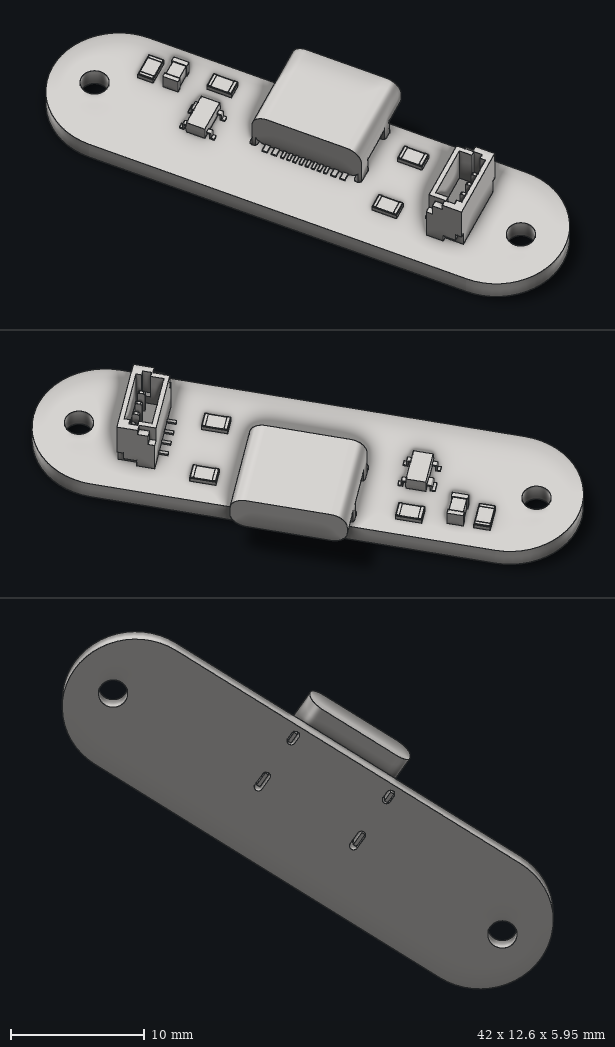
import cadquery as cq

BOARD_LENGTH = 42.0
BOARD_WIDTH = 11.0
BOARD_THICKNESS = 1.6
MOUNT_HOLE_DIAMETER = 2.2
MOUNT_HOLE_SPACING = 35.03

SHELL_WIDTH = 9.0
SHELL_LENGTH = 7.25
SHELL_HEIGHT = 3.2
SHELL_CORNER_RADIUS = 1.25
SHELL_BACK_Y = -0.15
LEG_THICKNESS = 0.3
FRONT_LEG_START_Y = 4.07
FRONT_LEG_LENGTH = 0.85
REAR_LEG_LENGTH = 1.18
USB_PIN_HEIGHT = 0.13
USB_PIN_REACH = 0.65
WIDE_PIN_WIDTH = 0.4
WIDE_PIN_OFFSETS = (2.45, 3.2)
NARROW_PIN_WIDTH = 0.25
NARROW_PIN_PITCH = 0.5
NARROW_PIN_COUNT = 8

SLOT_WIDTH = 0.65
SLOT_OFFSET_X = 4.3
FRONT_SLOT_LENGTH = 1.18
FRONT_SLOT_Y = 4.5
REAR_SLOT_LENGTH = 1.7
REAR_SLOT_Y = 0.3

CONNECTOR_X = 12.5
CONNECTOR_Y = 0.1
CONNECTOR_DEPTH = 2.9
CONNECTOR_LENGTH = 6.1
CONNECTOR_HEIGHT = 4.35
CAVITY_SIDE_WALL = 0.38
CAVITY_END_WALL = 0.9
CAVITY_FLOOR = 1.0
TOP_NOTCH_DEPTH = 0.5
BOTTOM_NOTCH_DEPTH = 0.35
NOTCH_STEP = 0.5
TOP_NOTCH_REACH = 1.3
TOP_NOTCH_DROP = 1.5
BOTTOM_NOTCH_REACH = 1.5
BOTTOM_NOTCH_LOW = 0.65
BOTTOM_NOTCH_HIGH = 1.3
KEYWAY_WIDTH = 0.67
KEYWAY_OFFSET_X = 0.3
KEYWAY_FLOOR = 1.85
CONTACT_COUNT = 4
CONTACT_PITCH = 1.0
CONTACT_WIDTH = 0.25
CONTACT_DEPTH = 0.55
CONTACT_OFFSET_X = 0.5
CONTACT_TOP = 3.1
CONTACT_TIP_BEVEL = 0.13
TAIL_REACH = 0.7
TAIL_HEIGHT = 0.15

PACKAGE_X = -8.53
PACKAGE_Y = -0.15
PACKAGE_WIDTH = 1.5
PACKAGE_LENGTH = 2.75
PACKAGE_BOTTOM = 0.13
SEAM_BOTTOM = 0.65
SEAM_TOP = 0.7
PACKAGE_TOP = 1.25
PACKAGE_BULGE = 0.05
LEAD_THICKNESS = 0.13
LEAD_TOP = 0.67
LEAD_KNEE_X = 1.18
LEAD_BEND_RADIUS = 0.13
LEAD_FOOT_X = 1.43
LEAD_ROW_Y = 0.95
NARROW_LEAD_WIDTH = 0.38
WIDE_LEAD_WIDTH = 0.75

CHIP_LENGTH = 2.0
CHIP_WIDTH = 1.25
RESISTOR_SLAB_HEIGHT = 0.38
RESISTOR_TERMINAL_TOP = 0.5
RESISTOR_COAT_TOP = 0.45
RESISTOR_TERMINAL_LENGTH = 0.25
RESISTOR_EDGE = 0.05
CAPACITOR_HEIGHT = 1.25
CAPACITOR_TERMINAL_LENGTH = 0.38
CAPACITOR_INSET = 0.1
CAPACITOR_PLACE = (-12.05, 2.75)
RESISTOR_PLACES = (
    (-14.1, 2.75, 90),
    (-8.55, 3.5, 0),
    (7.25, 3.1, 0),
    (7.4, -1.85, 0),
)


def block(x_min, x_max, y_min, y_max, z_min, z_max):
    """Rectangular block between two opposite corners."""
    size = (x_max - x_min, y_max - y_min, z_max - z_min)
    return cq.Workplane("XY").box(*size, centered=False).translate((x_min, y_min, z_min))


def build_board():
    """Round-ended board with two mounting holes and four leg slots."""
    board = cq.Workplane("XY").slot2D(BOARD_LENGTH, BOARD_WIDTH).extrude(BOARD_THICKNESS)
    hole_x = MOUNT_HOLE_SPACING / 2
    mount_holes = (
        cq.Workplane("XY")
        .pushPoints([(-hole_x, 0), (hole_x, 0)])
        .circle(MOUNT_HOLE_DIAMETER / 2)
        .extrude(BOARD_THICKNESS)
    )
    board = board.cut(mount_holes)
    for slot_y, slot_length in ((FRONT_SLOT_Y, FRONT_SLOT_LENGTH), (REAR_SLOT_Y, REAR_SLOT_LENGTH)):
        slots = (
            cq.Workplane("XY")
            .pushPoints([(-SLOT_OFFSET_X, slot_y), (SLOT_OFFSET_X, slot_y)])
            .slot2D(slot_length, SLOT_WIDTH, 90)
            .extrude(BOARD_THICKNESS)
        )
        board = board.cut(slots)
    return board


def build_usb_socket():
    """Rounded shell resting on the board, with legs through the slots and a row of pins."""
    half_width = SHELL_WIDTH / 2
    mid_z = BOARD_THICKNESS + SHELL_HEIGHT / 2
    socket = (
        block(-half_width, half_width, SHELL_BACK_Y, SHELL_BACK_Y + SHELL_LENGTH,
              BOARD_THICKNESS, BOARD_THICKNESS + SHELL_HEIGHT)
        .edges("|Y")
        .fillet(SHELL_CORNER_RADIUS)
    )

    legs = ((FRONT_LEG_START_Y, FRONT_LEG_LENGTH), (SHELL_BACK_Y, REAR_LEG_LENGTH))
    for leg_y, leg_length in legs:
        for leg_x in (-half_width, half_width - LEG_THICKNESS):
            leg = block(leg_x, leg_x + LEG_THICKNESS, leg_y, leg_y + leg_length, 0, mid_z)
            socket = socket.union(leg)

    first_narrow_x = -NARROW_PIN_PITCH * (NARROW_PIN_COUNT - 1) / 2
    pins = [(first_narrow_x + i * NARROW_PIN_PITCH, NARROW_PIN_WIDTH) for i in range(NARROW_PIN_COUNT)]
    for offset in WIDE_PIN_OFFSETS:
        pins += [(-offset, WIDE_PIN_WIDTH), (offset, WIDE_PIN_WIDTH)]
    for pin_x, pin_width in pins:
        pin = block(pin_x - pin_width / 2, pin_x + pin_width / 2,
                    SHELL_BACK_Y - USB_PIN_REACH, SHELL_BACK_Y + USB_PIN_REACH,
                    BOARD_THICKNESS, BOARD_THICKNESS + USB_PIN_HEIGHT)
        socket = socket.union(pin)
    return socket


def build_connector():
    """Open-topped housing with stepped end notches, keyways, contacts and solder tails."""
    half_depth = CONNECTOR_DEPTH / 2
    half_length = CONNECTOR_LENGTH / 2
    cavity_x = half_depth - CAVITY_SIDE_WALL
    cavity_y = half_length - CAVITY_END_WALL
    keyway_y = half_length - TOP_NOTCH_DEPTH
    height = CONNECTOR_HEIGHT

    housing = block(-half_depth, half_depth, -half_length, half_length, 0, height)
    housing = housing.cut(block(-cavity_x, cavity_x, -cavity_y, cavity_y, CAVITY_FLOOR, height))

    key_min = KEYWAY_OFFSET_X - KEYWAY_WIDTH / 2
    key_max = KEYWAY_OFFSET_X + KEYWAY_WIDTH / 2
    housing = housing.cut(block(key_min, key_max, -keyway_y, keyway_y, KEYWAY_FLOOR, height))

    for end in (-1, 1):
        outer_y = end * half_length
        top_y = sorted((outer_y, outer_y - end * TOP_NOTCH_DEPTH))
        bottom_y = sorted((outer_y, outer_y - end * BOTTOM_NOTCH_DEPTH))
        notch_cuts = (
            block(-half_depth, TOP_NOTCH_REACH - half_depth, *top_y, height - NOTCH_STEP, height),
            block(-half_depth, NOTCH_STEP - half_depth, *top_y, height - TOP_NOTCH_DROP, height),
            block(half_depth - BOTTOM_NOTCH_REACH, half_depth, *bottom_y, 0, BOTTOM_NOTCH_LOW),
            block(half_depth - NOTCH_STEP, half_depth, *bottom_y, 0, BOTTOM_NOTCH_HIGH),
        )
        for notch in notch_cuts:
            housing = housing.cut(notch)

    for i in range(CONTACT_COUNT):
        y_min = (i - (CONTACT_COUNT - 1) / 2) * CONTACT_PITCH - CONTACT_WIDTH / 2
        y_max = y_min + CONTACT_WIDTH
        contact_x = CONTACT_OFFSET_X - CONTACT_DEPTH / 2
        contact = block(contact_x, contact_x + CONTACT_DEPTH, y_min, y_max, CAVITY_FLOOR, CONTACT_TOP)
        contact = contact.edges(">Z and |Y").chamfer(CONTACT_TIP_BEVEL)
        tail = block(-half_depth - TAIL_REACH, -half_depth, y_min, y_max, 0, TAIL_HEIGHT)
        housing = housing.union(contact).union(tail)
    return housing.translate((CONNECTOR_X, CONNECTOR_Y, BOARD_THICKNESS))


def gull_wing_lead(side, y_centre, width):
    """Bent lead on the +X (side = 1) or -X (side = -1) flank of the package."""
    outline = [
        (0, LEAD_TOP - LEAD_THICKNESS),
        (LEAD_KNEE_X - LEAD_THICKNESS, LEAD_TOP - LEAD_THICKNESS),
        (LEAD_KNEE_X - LEAD_THICKNESS, 0),
        (LEAD_FOOT_X, 0),
        (LEAD_FOOT_X, LEAD_THICKNESS),
        (LEAD_KNEE_X, LEAD_THICKNESS),
        (LEAD_KNEE_X, LEAD_TOP),
        (0, LEAD_TOP),
    ]
    lead = cq.Workplane("XZ").polyline(outline).close().extrude(width / 2, both=True)
    knee = cq.selectors.NearestToPointSelector((LEAD_KNEE_X, 0, LEAD_TOP))
    lead = lead.edges("|Y").edges(knee).fillet(LEAD_BEND_RADIUS)
    if side < 0:
        lead = lead.mirror("YZ")
    return lead.translate((0, y_centre, 0))


def build_transistor():
    """Moulded package flaring to a middle seam band, with three narrow leads and a wide one."""
    seam_width = PACKAGE_WIDTH + 2 * PACKAGE_BULGE
    seam_length = PACKAGE_LENGTH + 2 * PACKAGE_BULGE

    def tapered_half(seam_z, end_z):
        return (
            cq.Workplane("XY", origin=(0, 0, seam_z))
            .rect(seam_width, seam_length)
            .workplane(offset=end_z - seam_z)
            .rect(PACKAGE_WIDTH, PACKAGE_LENGTH)
            .loft()
        )

    seam_band = (
        cq.Workplane("XY", origin=(0, 0, SEAM_BOTTOM))
        .rect(seam_width, seam_length)
        .extrude(SEAM_TOP - SEAM_BOTTOM)
    )
    package = seam_band.union(tapered_half(SEAM_TOP, PACKAGE_TOP))
    package = package.union(tapered_half(SEAM_BOTTOM, PACKAGE_BOTTOM))
    wide_lead_y = LEAD_ROW_Y + (NARROW_LEAD_WIDTH - WIDE_LEAD_WIDTH) / 2
    leads = (
        (1, LEAD_ROW_Y, NARROW_LEAD_WIDTH),
        (1, -LEAD_ROW_Y, NARROW_LEAD_WIDTH),
        (-1, -LEAD_ROW_Y, NARROW_LEAD_WIDTH),
        (-1, wide_lead_y, WIDE_LEAD_WIDTH),
    )
    for side, lead_y, lead_width in leads:
        package = package.union(gull_wing_lead(side, lead_y, lead_width))
    return package.translate((PACKAGE_X, PACKAGE_Y, BOARD_THICKNESS))


def build_capacitor():
    """Chip turned along Y, its end caps standing proud of the middle on the top and both sides."""
    half_length = CHIP_LENGTH / 2
    half_width = CHIP_WIDTH / 2
    side_x = half_width - CAPACITOR_INSET
    capacitor = block(-side_x, side_x, -half_length, half_length, 0, CAPACITOR_HEIGHT - CAPACITOR_INSET)
    for cap_y in (-half_length, half_length - CAPACITOR_TERMINAL_LENGTH):
        cap = block(-half_width, half_width, cap_y, cap_y + CAPACITOR_TERMINAL_LENGTH, 0, CAPACITOR_HEIGHT)
        capacitor = capacitor.union(cap)
    return capacitor.translate((*CAPACITOR_PLACE, BOARD_THICKNESS))


def build_resistor(x, y, turn):
    """Flat slab with a raised terminal strip at each end and a slightly lower coat between them."""
    half_length = CHIP_LENGTH / 2
    half_width = CHIP_WIDTH / 2
    top_x = half_length - RESISTOR_EDGE
    top_y = half_width - RESISTOR_EDGE
    slab = block(-half_length, half_length, -half_width, half_width, 0, RESISTOR_SLAB_HEIGHT)
    coat = block(-top_x, top_x, -top_y, top_y, RESISTOR_SLAB_HEIGHT, RESISTOR_COAT_TOP)
    resistor = slab.union(coat)
    for strip_x in (-top_x, top_x - RESISTOR_TERMINAL_LENGTH):
        strip = block(strip_x, strip_x + RESISTOR_TERMINAL_LENGTH, -top_y, top_y,
                      RESISTOR_SLAB_HEIGHT, RESISTOR_TERMINAL_TOP)
        resistor = resistor.union(strip)
    return resistor.rotate((0, 0, 0), (0, 0, 1), turn).translate((x, y, BOARD_THICKNESS))


board = build_board()
usb_socket = build_usb_socket()
connector = build_connector()
transistor = build_transistor()
capacitor = build_capacitor()
resistors = [build_resistor(*place) for place in RESISTOR_PLACES]

result = cq.Compound.makeCompound([
    board.val(),
    usb_socket.val(),
    connector.val(),
    transistor.val(),
    capacitor.val(),
    *[resistor.val() for resistor in resistors],
])